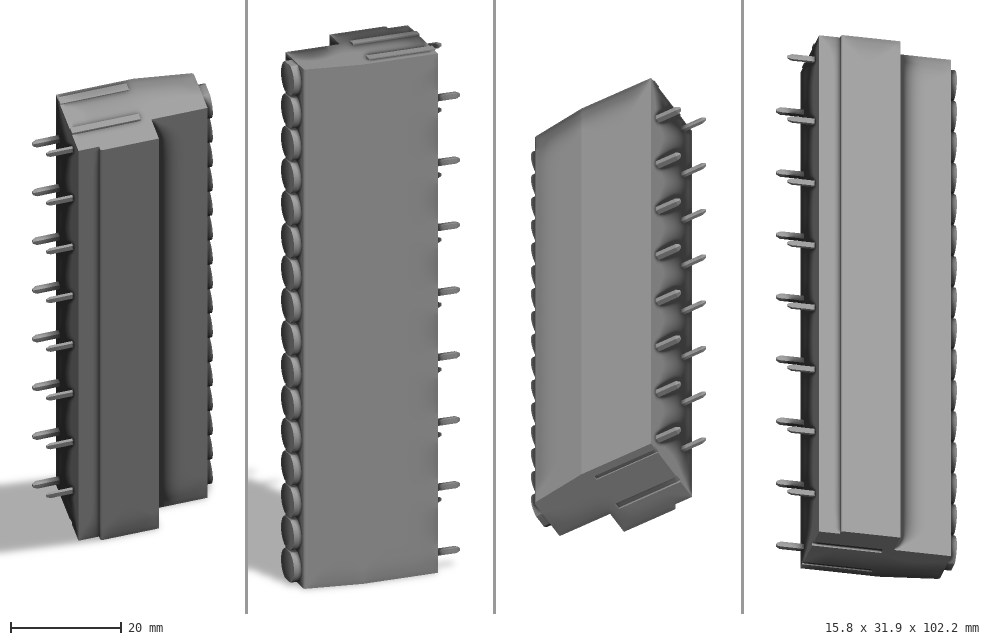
import cadquery as cq

POLE_COUNT = 16
TOTAL_HEIGHT = 102.2
RIB_HEIGHT = 0.46
BODY_HEIGHT = TOTAL_HEIGHT - RIB_HEIGHT
POLE_PITCH = BODY_HEIGHT / POLE_COUNT

BODY_WIDTH = 15.8
BODY_DEPTH = 25.5
TOWER_LEFT = 1.6
TOWER_RIGHT = 10.8
TOWER_FILLET = 0.5
SLOPE_START = 14.6
LEDGE_Y = 14.9
FOOT_WIDTH = 14.8
FOOT_DEPTH = 3.9
FLANGE_FILLET = 0.4

SCREW_X = 6.1
SCREW_DIAMETER = 6.4
SCREW_ACROSS_FLATS = 5.8
SCREW_HEIGHT = 1.4

RIB_LENGTH = 13.0
T_RIB_X = 2.0
T_HEAD_WIDTH = 1.7
T_HEAD_THICKNESS = 0.2
T_NECK_WIDTH = 0.9
PLAIN_RIB_X = 9.9
PLAIN_RIB_WIDTH = 1.4

PIN_LENGTH = 5.0
PIN_TIP_LENGTH = 0.7
PIN_TIP_SCALE = 0.5
PIN_HEIGHT = 1.0
LEFT_PIN_X = 2.0
LEFT_PIN_WIDTH = 1.0
RIGHT_PIN_X = 11.1
RIGHT_PIN_WIDTH = 0.6


def pole_z(index):
    """Height of the middle of a pole, counted from the lower end."""
    return (index + 0.5) * POLE_PITCH


def housing():
    outline = [
        (0, 0),
        (FOOT_WIDTH, 0),
        (FOOT_WIDTH, FOOT_DEPTH),
        (BODY_WIDTH, FOOT_DEPTH),
        (BODY_WIDTH, LEDGE_Y),
        (TOWER_RIGHT, LEDGE_Y),
        (TOWER_RIGHT, BODY_DEPTH),
        (TOWER_LEFT, BODY_DEPTH),
        (0, SLOPE_START),
    ]
    block = cq.Workplane("XY").polyline(outline).close().extrude(BODY_HEIGHT)
    flange_corner = cq.selectors.NearestToPointSelector((BODY_WIDTH, FOOT_DEPTH, BODY_HEIGHT / 2))
    tower_corner = cq.selectors.NearestToPointSelector((TOWER_LEFT, BODY_DEPTH, BODY_HEIGHT / 2))
    block = block.edges(flange_corner).fillet(FLANGE_FILLET)
    return block.edges(tower_corner).fillet(TOWER_FILLET)


def coupling_bars(base_z):
    """T-shaped bar and plain bar standing on the given height."""
    head_z = base_z + RIB_HEIGHT - T_HEAD_THICKNESS
    top_z = base_z + RIB_HEIGHT
    neck = T_NECK_WIDTH / 2
    head = T_HEAD_WIDTH / 2
    t_section = [
        (T_RIB_X - neck, base_z),
        (T_RIB_X + neck, base_z),
        (T_RIB_X + neck, head_z),
        (T_RIB_X + head, head_z),
        (T_RIB_X + head, top_z),
        (T_RIB_X - head, top_z),
        (T_RIB_X - head, head_z),
        (T_RIB_X - neck, head_z),
    ]
    bars = cq.Workplane("XZ").polyline(t_section).close().extrude(-RIB_LENGTH)
    plain = cq.Workplane("XY").box(
        PLAIN_RIB_WIDTH, RIB_LENGTH, RIB_HEIGHT, centered=(True, False, False)
    )
    return bars.union(plain.translate((PLAIN_RIB_X, 0, base_z)))


def screw_head(z):
    head = cq.Workplane("XZ").circle(SCREW_DIAMETER / 2).extrude(-SCREW_HEIGHT)
    flats = cq.Workplane("XY").box(SCREW_DIAMETER, 2 * SCREW_HEIGHT, SCREW_ACROSS_FLATS)
    return head.intersect(flats).translate((SCREW_X, BODY_DEPTH, z))


def pin(x, width, z):
    shank_length = PIN_LENGTH - PIN_TIP_LENGTH
    shank = cq.Workplane("XZ").rect(width, PIN_HEIGHT).extrude(shank_length)
    tip = (
        cq.Workplane("XZ", origin=(0, -shank_length, 0))
        .rect(width, PIN_HEIGHT)
        .workplane(offset=PIN_TIP_LENGTH)
        .rect(width * PIN_TIP_SCALE, PIN_HEIGHT * PIN_TIP_SCALE)
        .loft()
    )
    return shank.union(tip).translate((x, 0, z))


result = housing().cut(coupling_bars(0)).union(coupling_bars(BODY_HEIGHT))

for pole in range(POLE_COUNT):
    z = pole_z(pole)
    result = result.union(screw_head(z))
    if pole % 2 == 0:
        result = result.union(pin(LEFT_PIN_X, LEFT_PIN_WIDTH, z))
    else:
        result = result.union(pin(RIGHT_PIN_X, RIGHT_PIN_WIDTH, z))